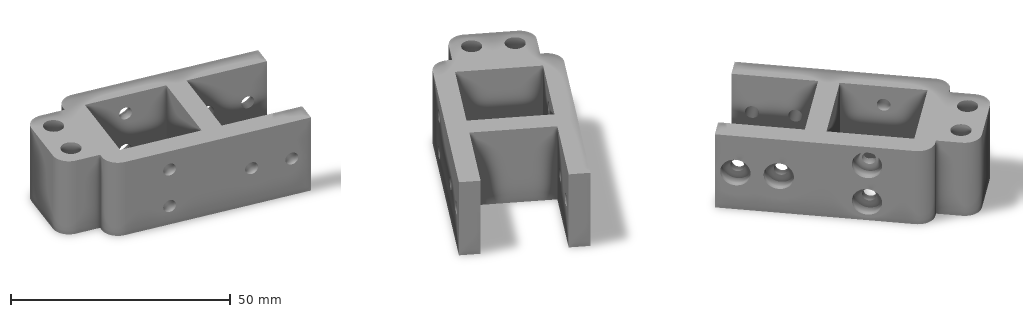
import cadquery as cq

length = 60.15
height = 20.0
wall = 5.0
opening = 20.2
slot_length = 20.0
corner_radius = 4.0

screw_diameter = 3.2
counterbore_diameter = 7.0
counterbore_depth = 3.0
hole_pitch = 10.0
pin_diameter = 4.8
pin_depth = 15.05
slot_hole_setback = 4.75

width = opening + 2 * wall
lug_length = length - slot_length - opening - 2 * wall
window_center = lug_length + wall + opening / 2


def block(size_x, size_y, start_y):
    """Full-height block centred on X, beginning at start_y."""
    base_plane = cq.Workplane("XY", origin=(0, start_y, 0))
    return base_plane.box(size_x, size_y, height, centered=(True, False, False))


def rounded_block(size_x, size_y, start_y):
    """Block whose two front vertical edges are rounded."""
    return block(size_x, size_y, start_y).faces("<Y").edges("|Z").fillet(corner_radius)


body = rounded_block(width, length - lug_length, lug_length)
lug = rounded_block(opening, lug_length, 0)
result = body.union(lug)

result = result.cut(block(opening, slot_length, length - slot_length))
result = result.cut(block(opening, opening, lug_length + wall))

pin_holes = (
    cq.Workplane("XY", origin=(0, lug_length / 2, height))
    .pushPoints([(-hole_pitch / 2, 0), (hole_pitch / 2, 0)])
    .circle(pin_diameter / 2)
    .extrude(-pin_depth)
)
result = result.cut(pin_holes)

rear_hole = length - slot_hole_setback
screw_positions = [
    (rear_hole, height / 2),
    (rear_hole - hole_pitch, height / 2),
    (window_center, (height - hole_pitch) / 2),
    (window_center, (height + hole_pitch) / 2),
]
side_face = cq.Workplane("YZ", origin=(-width / 2, 0, 0)).pushPoints(screw_positions)
result = result.cut(side_face.circle(screw_diameter / 2).extrude(width))
result = result.cut(side_face.circle(counterbore_diameter / 2).extrude(counterbore_depth))